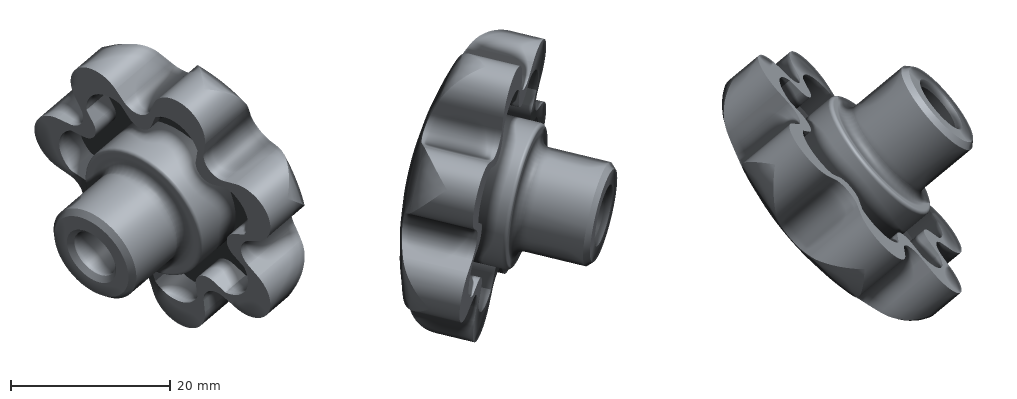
import cadquery as cq
import math

LOBES = 7
PITCH_ANGLE = 360 / LOBES

GRIP_RADIUS = 20.0
LOBE_RADIUS = 4.3
VALLEY_REACH = 13.65
VALLEY_RADIUS = 2.5

DOME_HEIGHT = 11.9
DOME_RADIUS = 43.12
RIM_RADIUS = 4.98

POCKET_DEPTH = 4.0
POCKET_TIP_REACH = 15.95
POCKET_TIP_RADIUS = 4.2
POCKET_HALF_WIDTH = 3.53
POCKET_VALLEY_REACH = 11.33
POCKET_VALLEY_RADIUS = 2.1

HUB_RADIUS = 9.5
HUB_LENGTH = 2.95
HUB_EDGE_RADIUS = 0.47
STEM_RADIUS = 6.75
STEM_LENGTH = 12.98
STEM_CHAMFER = 0.7
STEM_ROOT_RADIUS = 1.3

BORE_RADIUS = 3.35
BORE_DEPTH = 14.9
BORE_CHAMFER = 0.65


def polar(radius, degrees, center=(0, 0)):
    angle = math.radians(degrees)
    return (center[0] + radius * math.cos(angle), center[1] + radius * math.sin(angle))


def mirrored(point):
    return (point[0], -point[1])


def rotated(point, degrees):
    return polar(math.hypot(*point), math.degrees(math.atan2(point[1], point[0])) + degrees)


def flank_direction(start, valley_center, radius_sum):
    """Direction in degrees of the flank that leaves the lobe and passes inside the valley circle."""
    dx = valley_center[0] - start[0]
    dy = valley_center[1] - start[1]
    return math.degrees(math.atan2(dy, dx) + math.asin(radius_sum / math.hypot(dx, dy)))


def lobed_outline(tip_reach, lobe_end, valley_start, valley_reach):
    """Closed outline from one lobe on +X: its upper arc end and the start of the next valley."""
    outline = cq.Workplane("XZ").moveTo(*mirrored(lobe_end))
    for index in range(LOBES):
        turn = index * PITCH_ANGLE
        next_turn = turn + PITCH_ANGLE
        outline = (
            outline.threePointArc(polar(tip_reach, turn), rotated(lobe_end, turn))
            .lineTo(*rotated(valley_start, turn))
            .threePointArc(
                polar(valley_reach, turn + PITCH_ANGLE / 2),
                rotated(mirrored(valley_start), next_turn),
            )
        )
        if index < LOBES - 1:
            outline = outline.lineTo(*rotated(mirrored(lobe_end), next_turn))
    return outline.close()


def grip_outline():
    lobe_center = (GRIP_RADIUS - LOBE_RADIUS, 0)
    valley_center = polar(VALLEY_REACH + VALLEY_RADIUS, PITCH_ANGLE / 2)
    direction = flank_direction(lobe_center, valley_center, LOBE_RADIUS + VALLEY_RADIUS)
    lobe_end = polar(LOBE_RADIUS, direction - 90, lobe_center)
    valley_start = polar(VALLEY_RADIUS, direction + 90, valley_center)
    return lobed_outline(GRIP_RADIUS, lobe_end, valley_start, VALLEY_REACH)


def pocket_outline():
    tip_center = POCKET_TIP_REACH - POCKET_TIP_RADIUS
    corner = (tip_center + math.sqrt(POCKET_TIP_RADIUS**2 - POCKET_HALF_WIDTH**2), POCKET_HALF_WIDTH)
    valley_center = polar(POCKET_VALLEY_REACH + POCKET_VALLEY_RADIUS, PITCH_ANGLE / 2)
    direction = flank_direction(corner, valley_center, POCKET_VALLEY_RADIUS)
    valley_start = polar(POCKET_VALLEY_RADIUS, direction + 90, valley_center)
    return lobed_outline(POCKET_TIP_REACH, corner, valley_start, POCKET_VALLEY_REACH)


def dome():
    """Solid of revolution whose rim round is tangent to both the dome and the outer cylinder."""
    sphere_center = (0, DOME_HEIGHT - DOME_RADIUS)
    rim_center_x = GRIP_RADIUS - RIM_RADIUS
    gap = DOME_RADIUS - RIM_RADIUS
    tangent_angle = math.degrees(math.acos(rim_center_x / gap))
    rim_center = polar(gap, tangent_angle, sphere_center)
    return (
        cq.Workplane("XY")
        .lineTo(GRIP_RADIUS, 0)
        .lineTo(GRIP_RADIUS, rim_center[1])
        .threePointArc(
            polar(RIM_RADIUS, tangent_angle / 2, rim_center),
            polar(RIM_RADIUS, tangent_angle, rim_center),
        )
        .threePointArc(
            polar(DOME_RADIUS, (tangent_angle + 90) / 2, sphere_center),
            (0, DOME_HEIGHT),
        )
        .close()
        .revolve(360, (0, 0, 0), (0, 1, 0))
    )


def grip():
    blank = grip_outline().extrude(-DOME_HEIGHT).intersect(dome())
    pocket = pocket_outline().extrude(-POCKET_DEPTH)
    return blank.cut(pocket).rotate((0, 0, 0), (0, 1, 0), 180)


def hub_and_stem():
    root_x = STEM_RADIUS + STEM_ROOT_RADIUS
    root_y = -HUB_LENGTH - STEM_ROOT_RADIUS
    return (
        cq.Workplane("XY")
        .moveTo(0, POCKET_DEPTH)
        .lineTo(HUB_RADIUS, POCKET_DEPTH)
        .lineTo(HUB_RADIUS, HUB_EDGE_RADIUS - HUB_LENGTH)
        .radiusArc((HUB_RADIUS - HUB_EDGE_RADIUS, -HUB_LENGTH), HUB_EDGE_RADIUS)
        .lineTo(root_x, -HUB_LENGTH)
        .threePointArc(polar(STEM_ROOT_RADIUS, 135, (root_x, root_y)), (STEM_RADIUS, root_y))
        .lineTo(STEM_RADIUS, STEM_CHAMFER - STEM_LENGTH)
        .lineTo(STEM_RADIUS - STEM_CHAMFER, -STEM_LENGTH)
        .lineTo(0, -STEM_LENGTH)
        .close()
        .revolve(360, (0, 0, 0), (0, 1, 0))
    )


def bore():
    bore_end = BORE_DEPTH - STEM_LENGTH
    return (
        cq.Workplane("XY")
        .moveTo(0, -STEM_LENGTH)
        .lineTo(BORE_RADIUS + BORE_CHAMFER, -STEM_LENGTH)
        .lineTo(BORE_RADIUS, BORE_CHAMFER - STEM_LENGTH)
        .lineTo(BORE_RADIUS, bore_end)
        .lineTo(0, bore_end)
        .close()
        .revolve(360, (0, 0, 0), (0, 1, 0))
    )


result = grip().union(hub_and_stem()).cut(bore())